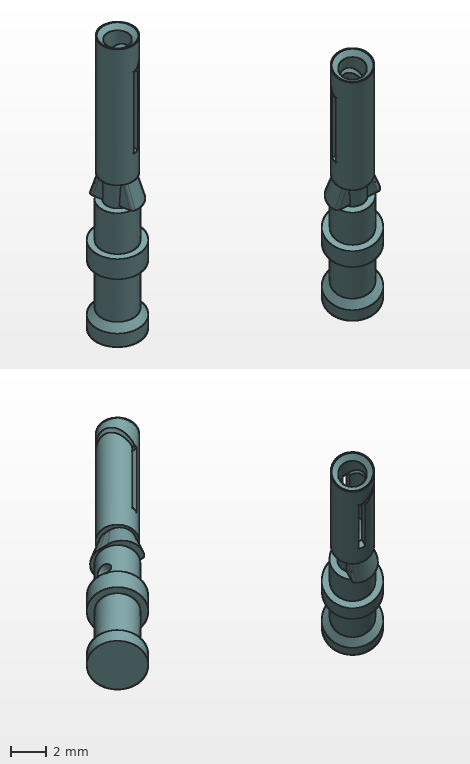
import cadquery as cq
import math

total_height = 21.5
flange_diameter = 3.5
flange_radius = flange_diameter / 2
barrel_radius = 1.31
neck_radius = 0.88
socket_radius = 1.25
base_top = 1.0
base_cone_top = 1.5
collar_bottom = 5.0
collar_top = 6.5
neck_bottom = 9.5
neck_top = 11.5

bore_radius = 0.82
mouth_radius = 1.18
mouth_depth = 0.28
bore_bottom = 13.5
drill_point_angle = 118.0

slot_half_width = 0.22
slot_bottom = 13.5
slot_top = 19.5
slot_knee = 19.25
slot_rise_angle = 44.0

clip_bottom = 9.68
clip_top_radius = 0.95
clip_top_spread = 0.15
clip_bottom_radius = 1.31
clip_bottom_spread = 0.32
clip_end_top = -0.62
clip_end_bottom = -0.69
clip_end_rounding = 0.25

inspection_radius = 0.5
inspection_height = 7.5


def make_body():
    profile = [
        (0, 0),
        (flange_radius, 0),
        (flange_radius, base_top),
        (barrel_radius, base_cone_top),
        (barrel_radius, collar_bottom),
        (flange_radius, collar_bottom),
        (flange_radius, collar_top),
        (barrel_radius, collar_top),
        (barrel_radius, neck_bottom),
        (neck_radius, neck_bottom),
        (neck_radius, neck_top),
        (socket_radius, neck_top),
        (socket_radius, total_height),
        (0, total_height),
    ]
    return cq.Workplane("XZ").polyline(profile).close().revolve(360, (0, 0), (0, 1))


def make_bore():
    drill_point_depth = bore_radius / math.tan(math.radians(drill_point_angle / 2))
    profile = [
        (0, bore_bottom - drill_point_depth),
        (bore_radius, bore_bottom),
        (bore_radius, total_height - mouth_depth),
        (mouth_radius, total_height),
        (0, total_height),
    ]
    return cq.Workplane("XZ").polyline(profile).close().revolve(360, (0, 0), (0, 1))


def make_slot():
    reach = 2 * socket_radius
    slope = math.tan(math.radians(slot_rise_angle))
    outline = [
        (-slot_half_width, slot_bottom),
        (slot_half_width, slot_bottom),
        (slot_half_width, slot_knee),
        (reach, slot_knee + slope * (reach - slot_half_width)),
        (reach, slot_top + slope * reach),
        (0, slot_top),
        (-slot_half_width, slot_top),
    ]
    return cq.Workplane("YZ").polyline(outline).close().extrude(flange_radius, both=True)


def make_clip():
    height = neck_top - clip_bottom
    flared = (
        cq.Workplane("XY", origin=(0, 0, clip_bottom))
        .slot2D(2 * (clip_bottom_radius + clip_bottom_spread), 2 * clip_bottom_radius)
        .workplane(offset=height)
        .slot2D(2 * (clip_top_radius + clip_top_spread), 2 * clip_top_radius)
        .loft(ruled=True)
    )
    kept_side = (
        cq.Workplane("YZ")
        .polyline([
            (clip_end_bottom, clip_bottom),
            (flange_radius, clip_bottom),
            (flange_radius, neck_top),
            (clip_end_top, neck_top),
        ])
        .close()
        .extrude(flange_radius, both=True)
    )
    clip = flared.intersect(kept_side)
    return clip.faces("<Y").edges("not |X").fillet(clip_end_rounding)


def make_inspection_hole():
    return (
        cq.Workplane("XZ", origin=(0, 0, inspection_height))
        .circle(inspection_radius)
        .extrude(-flange_radius)
    )


result = (
    make_body()
    .union(make_clip())
    .cut(make_bore())
    .cut(make_slot())
    .cut(make_inspection_hole())
)